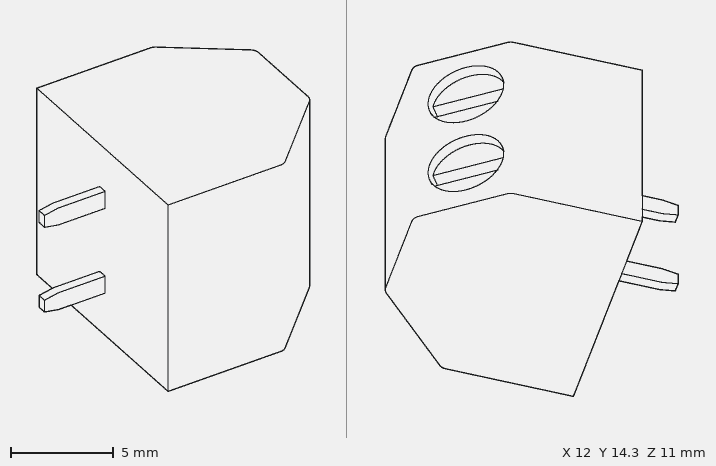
import cadquery as cq
import math

housing_width = 12.0
housing_depth = 10.8
housing_height = 11.0
slope_depth = 4.1
left_slope_width = 2.9
right_slope_width = 4.1
edge_radius = 0.5

terminal_pitch = 5.0
terminal_heights = (-terminal_pitch / 2, terminal_pitch / 2)

screw_diameter = 3.9
screw_from_back = 2.22
recess_depth = 0.6
slot_width = 0.8
slot_depth = 0.9

pin_thickness = 0.5
pin_width = 1.0
pin_length = 3.5
pin_tip_width = 0.7
pin_taper_length = 0.8


def make_housing():
    """Prism along Z with two slanted back corners and rounded slope edges."""
    half_width = housing_width / 2
    slope_start = housing_depth - slope_depth
    slope_corners = [
        (half_width, slope_start),
        (half_width - right_slope_width, housing_depth),
        (-half_width + left_slope_width, housing_depth),
        (-half_width, slope_start),
    ]
    outline = [(-half_width, 0), (half_width, 0)] + slope_corners
    prism = cq.Workplane("XY").polyline(outline).close().extrude(housing_height / 2, both=True)
    return prism.edges("|Z").edges("not <Y").fillet(edge_radius)


def make_screw_recess(height):
    """Cutter for a round recess with a screwdriver slot across its floor."""
    slope_length = math.hypot(left_slope_width, slope_depth)
    outward = (-slope_depth / slope_length, left_slope_width / slope_length, 0)
    along_slope = (left_slope_width, slope_depth, 0)
    axis_x = -housing_width / 2 + left_slope_width * (1 - screw_from_back / slope_depth)
    axis_y = housing_depth - screw_from_back
    face = cq.Plane(origin=(axis_x, axis_y, height), xDir=along_slope, normal=outward)

    recess = cq.Workplane(face).circle(screw_diameter / 2).extrude(-recess_depth)
    full_depth = recess_depth + slot_depth
    shaft = cq.Workplane(face).circle(screw_diameter / 2).extrude(-full_depth)
    slot = cq.Workplane(face).rect(screw_diameter, slot_width).extrude(-full_depth)
    return recess.union(slot.intersect(shaft))


def make_pin(height):
    """Flat pin whose Z width narrows towards the tip."""
    half_width = pin_width / 2
    half_tip = pin_tip_width / 2
    taper_start = -(pin_length - pin_taper_length)
    outline = [
        (0, -half_width),
        (taper_start, -half_width),
        (-pin_length, -half_tip),
        (-pin_length, half_tip),
        (taper_start, half_width),
        (0, half_width),
    ]
    profile = cq.Workplane("YZ", origin=(0, 0, height)).polyline(outline).close()
    return profile.extrude(pin_thickness / 2, both=True)


result = make_housing()
for terminal_height in terminal_heights:
    result = result.cut(make_screw_recess(terminal_height))
    result = result.union(make_pin(terminal_height))